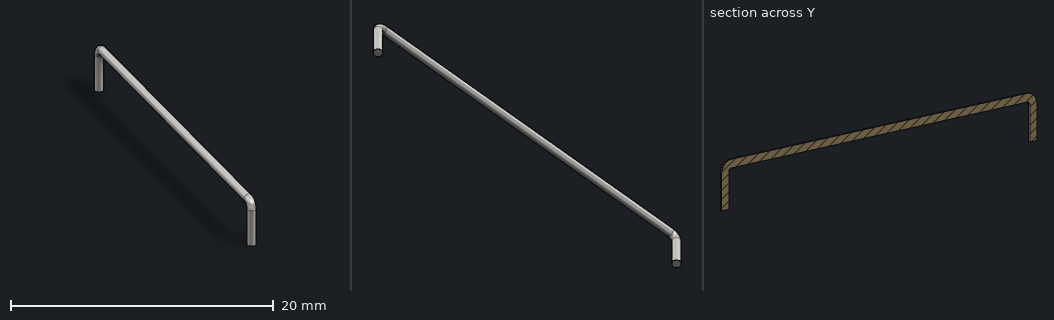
import cadquery as cq

length = 30.75
height = 3.97
wire_diameter = 0.75
bend_radius = 0.6

wire_radius = wire_diameter / 2
leg_x = length / 2 - wire_radius
run_z = height - wire_radius
straight_run_x = leg_x - bend_radius
leg_top_z = run_z - bend_radius

centreline = (
    cq.Workplane("XZ")
    .moveTo(-leg_x, 0)
    .lineTo(-leg_x, leg_top_z)
    .radiusArc((-straight_run_x, run_z), bend_radius)
    .lineTo(straight_run_x, run_z)
    .radiusArc((leg_x, leg_top_z), bend_radius)
    .lineTo(leg_x, 0)
)

result = cq.Workplane("XY").center(-leg_x, 0).circle(wire_radius).sweep(centreline)